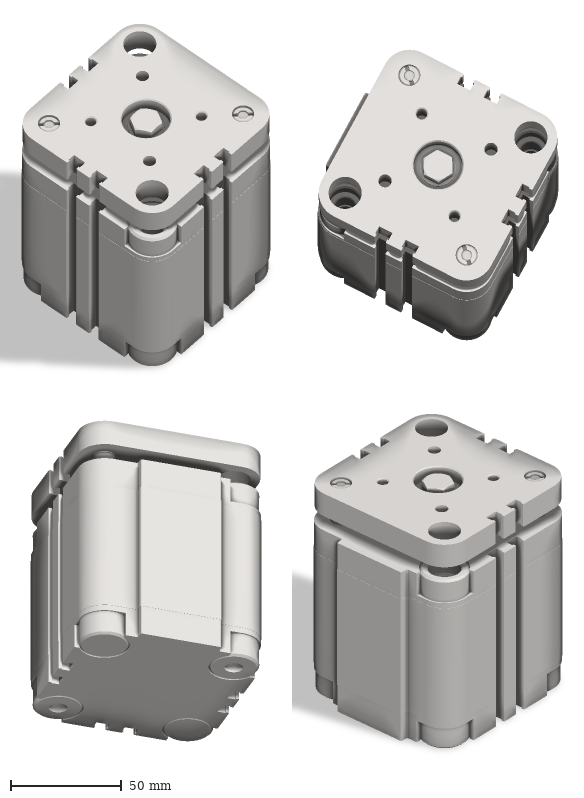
import cadquery as cq
import math


housing_height = 90.0
plate_thickness = 12.0
total_height = 109.5
plate_bottom = total_height - plate_thickness
cap_height = 14.2

housing_width = 87.0
cap_inset = 0.1
corner_radius = 12.5

overall_depth = 91.0
rail_top_y = overall_depth - housing_width / 2
rail_foot_half_width = 20.0
rail_neck_half_width = 19.6
rail_top_half_width = 19.4
rail_foot_height = 0.6
rail_edge_chamfer = 0.3

slot_offset = 6.8
slot_mouth_width = 5.5
slot_mouth_chamfer = 0.3
slot_inner_width = 6.8
slot_lip = 1.8
slot_depth = 5.5
slot_turns = (-90, 0, 90)

corner_offset = 31.1
screw_corners = [(-corner_offset, corner_offset), (corner_offset, -corner_offset)]
pin_corners = [(corner_offset, corner_offset), (-corner_offset, -corner_offset)]

boss_radius = 11.5
boss_height = 11.5
boss_chamfer_height = 1.0
boss_chamfer_width = 1.1
relief_wall = 25.2

screw_counterbore_diameter = 15.0
screw_rim_diameter = 16.5
screw_counterbore_depth = 7.6
thread_diameter = 10.0
thread_rim_diameter = 11.0
thread_length = 13.1
screw_bore_diameter = 8.5

plate_width = 86.4
screw_clearance_diameter = 15.0
fixing_offset = 17.7
fixing_diameter = 6.0
fixing_thread_diameter = 4.9
centre_rim_diameter = 23.4
centre_bore_diameter = 22.3
centre_bore_depth = 6.6

head_flange_diameter = 16.5
head_flange_height = 0.5
head_flats = 13.0
head_corner_diameter = head_flats / math.cos(math.radians(30))
head_top_diameter = head_flats
head_chamfer_height = 0.5
head_sink = 0.9

rod_diameter = 16.0
rod_flats = 13.0
rod_flats_gap = 1.3
pin_diameter = 10.0
pin_collar_diameter = 11.0
pin_collar_height = 0.4
pin_recess_diameter = 14.0
pin_recess_depth = 0.1
guide_bottom = housing_height - cap_height

pin_end_diameter = 8.3
pin_end_sink = 0.5
plug_seat_diameter = 4.9
plug_end_diameter = 3.9
plug_sink = 1.0
pin_slot_width = 1.9
pin_slot_depth = 2.4


def cylinder(diameter, bottom, top, points=((0, 0),)):
    start = cq.Workplane("XY", origin=(0, 0, bottom)).pushPoints(points)
    return start.circle(diameter / 2).extrude(top - bottom)


def cone(bottom_diameter, top_diameter, bottom, top, points=((0, 0),)):
    one = cq.Solid.makeCone(bottom_diameter / 2, top_diameter / 2, top - bottom)
    return cq.Workplane("XY").pushPoints(points).eachpoint(
        lambda place: one.translate(cq.Vector(0, 0, bottom)).moved(place), combine=True
    )


def countersink(rim_diameter, bore_diameter, top, points):
    """45 degree cone that opens a bore to the rim diameter at the height top."""
    depth = (rim_diameter - bore_diameter) / 2
    return cone(bore_diameter, rim_diameter, top - depth, top, points)


def rounded_block(width, bottom, top):
    block = cq.Workplane("XY", origin=(0, 0, bottom)).rect(width, width).extrude(top - bottom)
    return block.edges("|Z").fillet(corner_radius)


def t_slots(face_distance, bottom, top):
    """Cutters for all slot pairs, entering faces at face_distance from the axis."""
    mouth = slot_mouth_width / 2
    flare = mouth + slot_mouth_chamfer
    inner = slot_inner_width / 2
    right_side = [
        (flare, 0),
        (mouth, slot_mouth_chamfer),
        (mouth, slot_lip),
        (inner, slot_lip),
        (inner, slot_depth),
    ]
    left_side = [(-x, y) for x, y in reversed(right_side)]
    cutters = cq.Workplane("XY")
    for offset in (-slot_offset, slot_offset):
        start = cq.Workplane("XY", origin=(offset, -face_distance, bottom))
        slot = start.polyline(right_side + left_side).close().extrude(top - bottom)
        for turn in slot_turns:
            cutters = cutters.add(slot.rotate((0, 0, 0), (0, 0, 1), turn))
    return cutters.combine()


def housing_section(inset, bottom, top):
    """Stretch of the housing with its rail, inset from the barrel's outline."""
    face_y = housing_width / 2 - inset
    rail_y = rail_top_y - inset
    right_side = [
        (rail_foot_half_width - inset, 0),
        (rail_foot_half_width - inset, face_y),
        (rail_neck_half_width - inset, face_y + rail_foot_height),
        (rail_top_half_width - inset, rail_y - rail_edge_chamfer),
        (rail_top_half_width - inset - rail_edge_chamfer, rail_y),
    ]
    left_side = [(-x, y) for x, y in reversed(right_side)]
    start = cq.Workplane("XY", origin=(0, 0, bottom))
    rail = start.polyline(right_side + left_side).close().extrude(top - bottom)
    return rounded_block(housing_width - 2 * inset, bottom, top).union(rail)


def corner_relief():
    """Cutter for the (+X, +Y) corner at the housing's top that leaves a chamfered round boss."""
    bottom = housing_height - boss_height
    reach = housing_width / 2 - relief_wall
    start = cq.Workplane("XY", origin=(relief_wall, relief_wall, bottom))
    block = start.rect(reach, reach, centered=False).extrude(boss_height)
    axis = [(corner_offset, corner_offset)]
    disc = cylinder(2 * boss_radius, bottom, housing_height, axis)
    boss = disc.faces(">Z").chamfer(boss_chamfer_height, boss_chamfer_width)
    return block.union(disc).cut(boss)


def relieve_corners(housing):
    """Relieve the screw corners at the top and all four corners at the bottom."""
    top_relief = corner_relief()
    bottom_relief = top_relief.mirror("XY", (0, 0, housing_height / 2))
    for turn in (90, 270):
        housing = housing.cut(top_relief.rotate((0, 0, 0), (0, 0, 1), turn))
    for turn in (0, 90, 180, 270):
        housing = housing.cut(bottom_relief.rotate((0, 0, 0), (0, 0, 1), turn))
    return housing


def screw_holes():
    floor = housing_height - screw_counterbore_depth
    holes = cylinder(screw_bore_diameter, 0, housing_height, screw_corners)
    holes = holes.union(cylinder(thread_diameter, floor - thread_length, floor, screw_corners))
    holes = holes.union(countersink(thread_rim_diameter, thread_diameter, floor, screw_corners))
    holes = holes.union(cylinder(screw_counterbore_diameter, floor, housing_height, screw_corners))
    return holes.union(
        countersink(screw_rim_diameter, screw_counterbore_diameter, housing_height, screw_corners)
    )


def guide_holes():
    """Holes that the rod and the pins fill, with a shallow recess around each pin."""
    holes = cylinder(rod_diameter, guide_bottom, housing_height)
    holes = holes.union(cylinder(pin_diameter, guide_bottom, housing_height, pin_corners))
    return holes.union(
        cylinder(pin_recess_diameter, housing_height - pin_recess_depth, housing_height, pin_corners)
    )


def make_housing():
    barrel_top = housing_height - cap_height
    housing = housing_section(0, cap_height, barrel_top)
    housing = housing.union(housing_section(cap_inset, 0, cap_height))
    housing = housing.union(housing_section(cap_inset, barrel_top, housing_height))
    housing = housing.cut(t_slots(housing_width / 2, 0, housing_height))
    housing = relieve_corners(housing)
    return housing.cut(screw_holes()).cut(guide_holes())


def fixing_holes():
    """Two plain and two threaded holes through the plate around its centre."""
    plain = [(-fixing_offset, fixing_offset), (fixing_offset, -fixing_offset)]
    threaded = [(fixing_offset, fixing_offset), (-fixing_offset, -fixing_offset)]
    holes = cylinder(fixing_diameter, plate_bottom, total_height, plain)
    holes = holes.union(cylinder(fixing_thread_diameter, plate_bottom, total_height, threaded))
    return holes.union(countersink(fixing_diameter, fixing_thread_diameter, total_height, threaded))


def centre_bore():
    bore = cylinder(centre_bore_diameter, total_height - centre_bore_depth, total_height)
    return bore.union(countersink(centre_rim_diameter, centre_bore_diameter, total_height, [(0, 0)]))


def hexagon_head():
    """Head on the floor of the centre bore, its corners turned off to a cone at the top."""
    floor = total_height - centre_bore_depth
    head_top = total_height - head_sink
    shoulder = head_top - head_chamfer_height
    start = cq.Workplane("XY", origin=(0, 0, floor)).transformed(rotate=(0, 0, 90))
    hexagon = start.polygon(6, head_corner_diameter).extrude(head_top - floor)
    envelope = cylinder(head_corner_diameter, floor, shoulder)
    envelope = envelope.union(cone(head_corner_diameter, head_top_diameter, shoulder, head_top))
    flange = cylinder(head_flange_diameter, floor, floor + head_flange_height)
    return hexagon.intersect(envelope).union(flange)


def piston_rod():
    flats_bottom = housing_height + rod_flats_gap
    start = cq.Workplane("XY", origin=(0, 0, flats_bottom))
    flats = start.rect(rod_diameter, rod_flats).extrude(plate_bottom - flats_bottom)
    flatted = cylinder(rod_diameter, flats_bottom, plate_bottom).intersect(flats)
    return cylinder(rod_diameter, guide_bottom, flats_bottom).union(flatted)


def guide_pins():
    pins = cylinder(pin_diameter, guide_bottom, plate_bottom, pin_corners)
    collars = cylinder(pin_collar_diameter, plate_bottom - pin_collar_height, plate_bottom, pin_corners)
    return pins.union(collars)


def sunk_end(outer_diameter, end_diameter, sink):
    """Cutter that leaves 45 degree chamfered ends sunk below the plate's top face."""
    end = total_height - sink
    chamfer_bottom = end - (outer_diameter - end_diameter) / 2
    pocket = cylinder(outer_diameter, chamfer_bottom, total_height, pin_corners)
    return pocket.cut(cone(outer_diameter, end_diameter, chamfer_bottom, end, pin_corners))


def pin_driver_slots():
    """Diagonal driver slots across the pin ends, interrupted by the plugs."""
    slot_bottom = total_height - pin_slot_depth
    slots = cylinder(pin_diameter, slot_bottom, total_height, pin_corners)
    start = cq.Workplane("XY", origin=(0, 0, slot_bottom)).transformed(rotate=(0, 0, 45))
    diagonal = start.rect(2 * plate_width, pin_slot_width).extrude(pin_slot_depth)
    return slots.intersect(diagonal).cut(cylinder(plug_seat_diameter, slot_bottom, total_height, pin_corners))


def pin_end_recesses():
    recesses = sunk_end(pin_diameter, pin_end_diameter, pin_end_sink)
    recesses = recesses.union(sunk_end(plug_seat_diameter, plug_end_diameter, plug_sink))
    return recesses.union(pin_driver_slots())


def make_carriage():
    plate = rounded_block(plate_width, plate_bottom, total_height)
    plate = plate.cut(t_slots(plate_width / 2, plate_bottom, total_height))
    plate = plate.cut(cylinder(screw_clearance_diameter, plate_bottom, total_height, screw_corners))
    plate = plate.cut(fixing_holes()).cut(centre_bore()).cut(pin_end_recesses())
    return plate.union(hexagon_head()).union(piston_rod()).union(guide_pins())


housing = make_housing()
carriage = make_carriage()

result = cq.Compound.makeCompound([housing.val(), carriage.val()])